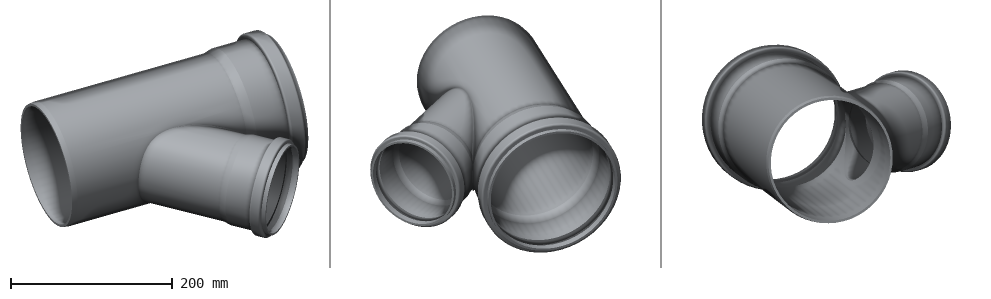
import cadquery as cq

total_length = 317.5
pipe_diameter = 160.3
pipe_bore = 152.0
spigot_tip_diameter = 158.0
spigot_chamfer_length = 7.0
socket_diameter = 167.0
bead_diameter = 180.5
socket_wall = 3.0
flare_start = 237.8
flare_end = 250.0
bead_start = 291.8
bead_end = 311.5
bead_round = 2.5

branch_angle = 45.0
branch_origin_y = 87.5
branch_length = 227.3
branch_diameter = 111.0
branch_bore = 103.8
branch_socket_diameter = 116.0
branch_bead_diameter = 126.0
branch_socket_wall = 2.5
branch_flare_start = 165.0
branch_flare_end = 174.3
branch_bead_start = 207.3
branch_bead_end = 222.0
branch_bead_round = 2.2

collar_lean = 2.8
collar_start = 145.5
collar_shift = 3.8
collar_reach = 190.5


def cylinder(diameter, start, end):
    """Cylinder along +Y between two stations."""
    return cq.Workplane("XZ", origin=(0, start, 0)).circle(diameter / 2).extrude(start - end)


def cone(start_diameter, end_diameter, start, end):
    """Truncated cone along +Y between two stations."""
    profile = [(0, start), (start_diameter / 2, start), (end_diameter / 2, end), (0, end)]
    return cq.Workplane("XY").polyline(profile).close().revolve(360, (0, 0, 0), (0, 1, 0))


def stepped_pipe(diameter, socket, flare_from, flare_to, length, start=0):
    """Pipe that flares into a wider socket."""
    body = cylinder(diameter, start, flare_from)
    body = body.union(cone(diameter, socket, flare_from, flare_to))
    return body.union(cylinder(socket, flare_to, length))


def rounded_bead(diameter, start, end, radius):
    """Bead around the socket, rounded on both rims."""
    return cylinder(diameter, start, end).edges().fillet(radius)


main_outer = stepped_pipe(
    pipe_diameter, socket_diameter, flare_start, flare_end, total_length, spigot_chamfer_length
)
main_outer = main_outer.union(cone(spigot_tip_diameter, pipe_diameter, 0, spigot_chamfer_length))
main_outer = main_outer.union(rounded_bead(bead_diameter, bead_start, bead_end, bead_round))

main_inner = stepped_pipe(
    pipe_bore, socket_diameter - 2 * socket_wall, flare_start, flare_end, total_length
)
seal_groove = cylinder(
    bead_diameter - 2 * socket_wall, bead_start + socket_wall, bead_end - socket_wall
)
main_inner = main_inner.union(seal_groove)

branch_outer = stepped_pipe(
    branch_diameter, branch_socket_diameter, branch_flare_start, branch_flare_end, branch_length
)
branch_outer = branch_outer.union(
    rounded_bead(branch_bead_diameter, branch_bead_start, branch_bead_end, branch_bead_round)
)

branch_inner = stepped_pipe(
    branch_bore,
    branch_socket_diameter - 2 * branch_socket_wall,
    branch_flare_start,
    branch_flare_end,
    branch_length,
)
branch_seal_groove = cylinder(
    branch_bead_diameter - 2 * branch_socket_wall,
    branch_bead_start + branch_socket_wall,
    branch_bead_end - branch_socket_wall,
)
branch_inner = branch_inner.union(branch_seal_groove)


def place_branch(body):
    """Swing a body from +Y towards +X and move it to the branch origin."""
    return body.rotate((0, 0, 0), (0, 0, 1), -branch_angle).translate((0, branch_origin_y, 0))


collar_tube = place_branch(cylinder(branch_diameter, 0, collar_reach)).translate((0, collar_shift, 0))
collar_limit = cylinder(pipe_diameter, collar_start, bead_start)
collar_limit = collar_limit.rotate((0, collar_start, 0), (0, collar_start, 1), -collar_lean)
collar = collar_tube.intersect(collar_limit)

outer = main_outer.union(place_branch(branch_outer)).union(collar)
result = outer.cut(main_inner).cut(place_branch(branch_inner))